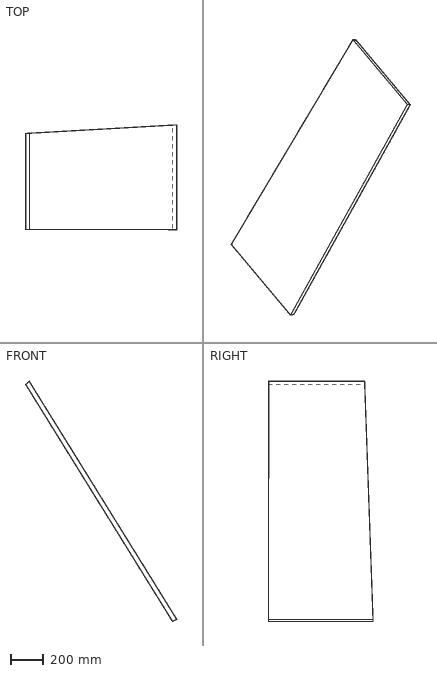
import cadquery as cq
import math

span_x = 935.0
width_y = 648.0
height_z = 1486.0

top_end_run = 22.0
top_end_rise = 21.0
bottom_end_run = 27.0
bottom_end_rise = 13.0

front_taper = 1.0
back_taper = 52.0

upper_top = (top_end_run, height_z)
upper_bottom = (span_x, bottom_end_rise)
lower_bottom = (span_x - bottom_end_run, 0)
lower_top = (0, height_z - top_end_rise)

slope_x = upper_bottom[0] - upper_top[0]
slope_z = upper_bottom[1] - upper_top[1]
slope_length = math.hypot(slope_x, slope_z)


def bevelled_panel():
    """Full-width panel with the two bevelled ends."""
    profile = cq.Workplane("XZ").polyline([upper_top, upper_bottom, lower_bottom, lower_top])
    return profile.close().extrude(-width_y)


def tapered_outline():
    """Prism with side faces square to the panel, narrowing up the slope."""
    upper_face = cq.Plane(
        origin=(upper_bottom[0], 0, upper_bottom[1]),
        xDir=(-slope_x, 0, -slope_z),
        normal=(slope_z, 0, -slope_x),
    )
    overrun = 15.0
    start = -overrun
    end = slope_length + overrun

    def front_edge(distance):
        return (distance, front_taper * distance / slope_length)

    def back_edge(distance):
        return (distance, width_y - back_taper * distance / slope_length)

    corners = [front_edge(start), front_edge(end), back_edge(end), back_edge(start)]
    depth = math.hypot(bottom_end_run, bottom_end_rise)
    return cq.Workplane(upper_face).polyline(corners).close().extrude(depth, both=True)


result = bevelled_panel().intersect(tapered_outline())